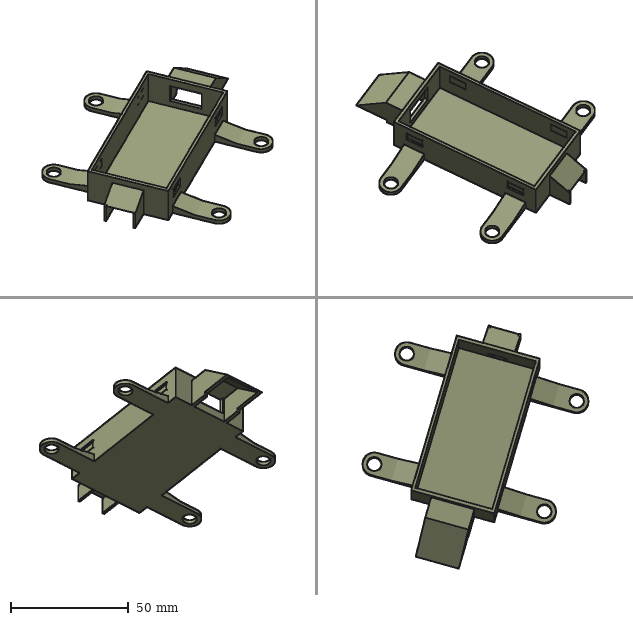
import cadquery as cq

tray_width = 36.7
tray_height = 16.2
total_length = 104.2
side_wall = 1.4
end_wall = 1.6
floor_thickness = 1.2

rear_length = 24.0
rear_width = 19.1
rear_wall = 1.5
rear_top = 13.5
rear_flat_length = 9.2
rear_skirt_length = 8.9
rear_tip_height = 1.6
rear_roof = 1.0
window_width = 14.4
window_bottom = 4.3
window_top = rear_top - rear_roof

front_length = 9.9
front_width = 14.2
front_cheek = 0.9
front_top = 13.2
front_edge_height = 8.1
roof_setback = 0.2
slot_length = 8.3
slot_height = 3.5
slot_center_height = 4.3

hole_diameter = 6.0
arm_width = 10.0
arm_reach = 37.5
arm_thickness = 2.0
arm_root_height = 3.9
arm_crease = 28.4
arm_end_offset = 10.1

recess_length = 7.9
recess_height = 4.2
recess_bottom = 8.1
recess_depth = 0.9
recess_end_offset = 6.2

tray_length = total_length - rear_length - front_length
half_width = tray_width / 2
half_length = tray_length / 2


def box(x_size, y_size, z_size, x=0, y=0, z=0):
    """Box centred at (x, y) with its underside at z."""
    return cq.Workplane("XY").box(x_size, y_size, z_size, centered=(True, True, False)).translate((x, y, z))


def side_profile(points, width):
    """Extrude a YZ outline symmetrically about X = 0."""
    return cq.Workplane("YZ").polyline(points).close().extrude(width / 2, both=True)


def make_tray():
    outside = box(tray_width, tray_length, tray_height)
    inside = box(tray_width - 2 * side_wall, tray_length - 2 * end_wall, tray_height, z=floor_thickness)
    return outside.cut(inside)


def make_rear_hood():
    slope_run = rear_length - rear_flat_length
    slope = (rear_top - rear_tip_height) / slope_run
    start = half_length
    crease = start + rear_flat_length
    tip = start + rear_length
    skirt_end = start + rear_skirt_length
    shell = side_profile(
        [
            (start, 0),
            (start, rear_top),
            (crease, rear_top),
            (tip, rear_tip_height),
            (skirt_end, rear_tip_height),
            (skirt_end, 0),
        ],
        rear_width,
    )
    cavity = side_profile(
        [
            (start, 0),
            (start, window_top),
            (crease, window_top),
            (crease + window_top / slope, 0),
        ],
        rear_width - 2 * rear_wall,
    )
    return shell.cut(cavity)


def make_front_hood():
    start = -half_length
    end = start - front_length
    outside = side_profile(
        [(start, 0), (start, front_top), (end, front_edge_height), (end, 0)],
        front_width,
    )
    inner_width = front_width - 2 * front_cheek
    opening = box(inner_width, front_length, front_edge_height, y=start - front_length / 2)
    setback = box(inner_width, roof_setback, front_top, y=end + roof_setback / 2)
    return outside.cut(opening).cut(setback)


def make_arm(x_side, y):
    profile = [
        (half_width - side_wall, 0),
        (half_width - side_wall, arm_root_height),
        (half_width, arm_root_height),
        (arm_crease, arm_thickness),
        (arm_reach, arm_thickness),
        (arm_reach, 0),
    ]
    arm = cq.Workplane("XZ").polyline(profile).close().extrude(arm_width / 2, both=True)
    end = cq.Workplane("XY").center(arm_reach, 0).circle(arm_width / 2).extrude(arm_thickness)
    hole = cq.Workplane("XY").center(arm_reach, 0).circle(hole_diameter / 2).extrude(arm_thickness)
    arm = arm.union(end).cut(hole)
    if x_side < 0:
        arm = arm.mirror("YZ")
    return arm.translate((0, y, 0))


def make_recess(x_side, y):
    return box(
        recess_depth,
        recess_length,
        recess_height,
        x=x_side * (half_width - recess_depth / 2),
        y=y,
        z=recess_bottom,
    )


def make_window():
    return box(
        window_width,
        end_wall,
        window_top - window_bottom,
        y=half_length - end_wall / 2,
        z=window_bottom,
    )


def make_slot():
    return (
        cq.Workplane("XZ", origin=(0, end_wall - half_length, slot_center_height))
        .slot2D(slot_length, slot_height)
        .extrude(end_wall)
    )


arm_y = half_length - arm_end_offset
recess_y = half_length - recess_end_offset - recess_length / 2

result = make_tray().union(make_rear_hood()).union(make_front_hood())
for x_side in (-1, 1):
    for y_side in (-1, 1):
        result = result.union(make_arm(x_side, y_side * arm_y))
        result = result.cut(make_recess(x_side, y_side * recess_y))
result = result.cut(make_window()).cut(make_slot())